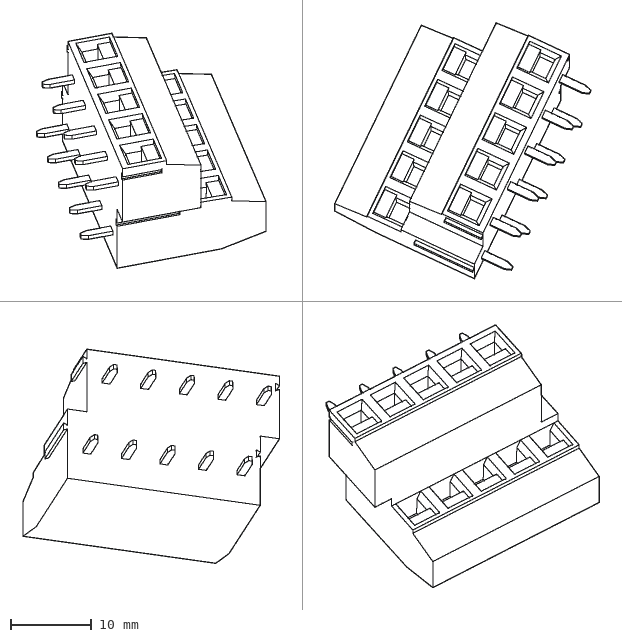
import cadquery as cq
import math


overall_length = 28.0
overall_depth = 23.2
height = 18.5
terminals_per_row = 5
pin_length = 4.0
rail_depth = 0.5
pitch = (overall_length - rail_depth) / (terminals_per_row + 0.5)
row_length = terminals_per_row * pitch
row_shift = pitch / 2

lower_depth = overall_depth - pin_length
upper_depth = 10.1
tier_split = 9.72
roof_run = 4.42
roof_lip = 0.1
shelf_y = lower_depth - roof_run
shelf_height = 8.23
shelf_tilt = 1.5
shelf_rise = (shelf_y - upper_depth) * math.tan(math.radians(shelf_tilt))
roof_step = 0.62
roof_drop = 1.15
upper_roof_y = upper_depth - roof_run
lower_lip_z = shelf_height - roof_step - roof_drop
upper_lip_z = height - roof_step - roof_drop
bottom_slope_y = 13.45
bottom_slope_rise = 1.55

opening_width = 3.75
opening_margin = 0.5
front_rim = 0.85
throat_width = 2.65
funnel_depth = 1.12
funnel_front_inset = 0.62
opening_depth = 3.92
clamp_length = 1.65
clamp_drop = 0.6

pin_width = 1.0
pin_thickness = 0.62
pin_tip_width = 0.42
pin_tip_length = 0.85
lower_pin_z = 4.15
upper_pin_z = 14.35

rail_wide = 0.98
rail_narrow = 0.53
lower_rail_z = 7.2
upper_rail_z = 16.9
lower_rail_length = 8.1
upper_rail_length = 5.1


def row_body(outline, left):
    """Extrude a closed Y-Z outline over the length of one row."""
    return cq.Workplane("YZ").polyline(outline).close().extrude(row_length).translate((left, 0, 0))


def opening(x, y_front, y_rear, z_top, front_inset):
    """Funnel and throat of one opening, with the clamp block left standing at its rear."""
    length = y_rear - y_front
    throat_length = length - front_inset
    funnel = (
        cq.Workplane("XY", origin=(x, y_rear - length / 2, z_top))
        .rect(opening_width, length)
        .workplane(offset=-funnel_depth)
        .center(0, front_inset / 2)
        .rect(throat_width, throat_length)
        .loft(ruled=True)
    )
    throat = (
        cq.Workplane("XY", origin=(x, y_rear - throat_length / 2, z_top - opening_depth))
        .rect(throat_width, throat_length)
        .extrude(opening_depth - funnel_depth)
    )
    clamp = (
        cq.Workplane("XY", origin=(x, y_rear - clamp_length / 2, z_top - opening_depth))
        .rect(opening_width, clamp_length)
        .extrude(opening_depth - clamp_drop)
    )
    return funnel.union(throat).cut(clamp)


def pin(x, z):
    """Flat pin with a tapered tip, pointing along -Y."""
    half = pin_width / 2
    half_tip = pin_tip_width / 2
    shank_end = pin_tip_length - pin_length
    outline = [
        (x - half, 0),
        (x - half, shank_end),
        (x - half_tip, -pin_length),
        (x + half_tip, -pin_length),
        (x + half, shank_end),
        (x + half, 0),
    ]
    bottom = cq.Workplane("XY", origin=(0, 0, z - pin_thickness / 2))
    return bottom.polyline(outline).close().extrude(pin_thickness)


def dovetail(x_root, z, length):
    """Dovetail bar that widens from x_root towards -X and runs back from the pin face."""
    x_outer = x_root - rail_depth
    outline = [
        (x_root, z - rail_narrow / 2),
        (x_root, z + rail_narrow / 2),
        (x_outer, z + rail_wide / 2),
        (x_outer, z - rail_wide / 2),
    ]
    return cq.Workplane("XZ").polyline(outline).close().extrude(-length)


lower_outline = [
    (0, 0),
    (bottom_slope_y, 0),
    (lower_depth, bottom_slope_rise),
    (lower_depth, lower_lip_z),
    (lower_depth - roof_lip, lower_lip_z),
    (shelf_y, shelf_height - roof_step),
    (shelf_y, shelf_height),
    (upper_depth, shelf_height + shelf_rise),
    (upper_depth, tier_split),
    (0, tier_split),
]
upper_outline = [
    (0, tier_split),
    (upper_depth, tier_split),
    (upper_depth, upper_lip_z),
    (upper_depth - roof_lip, upper_lip_z),
    (upper_roof_y, height - roof_step),
    (upper_roof_y, height),
    (0, height),
]
result = row_body(lower_outline, 0).union(row_body(upper_outline, row_shift))

for index in range(terminals_per_row):
    lower_x = (index + 0.5) * pitch
    upper_x = lower_x + row_shift
    upper_opening = opening(upper_x, front_rim, upper_roof_y - opening_margin, height, funnel_front_inset)
    lower_opening = opening(lower_x, upper_depth, shelf_y - opening_margin, shelf_height, 0).rotate(
        (0, shelf_y, shelf_height), (1, shelf_y, shelf_height), -shelf_tilt
    )
    result = result.cut(upper_opening).cut(lower_opening)
    result = result.union(pin(lower_x, lower_pin_z)).union(pin(upper_x, upper_pin_z))

for left, z, length in (
    (0, lower_rail_z, lower_rail_length),
    (row_shift, upper_rail_z, upper_rail_length),
):
    result = result.union(dovetail(left, z, length)).cut(dovetail(left + row_length, z, length))